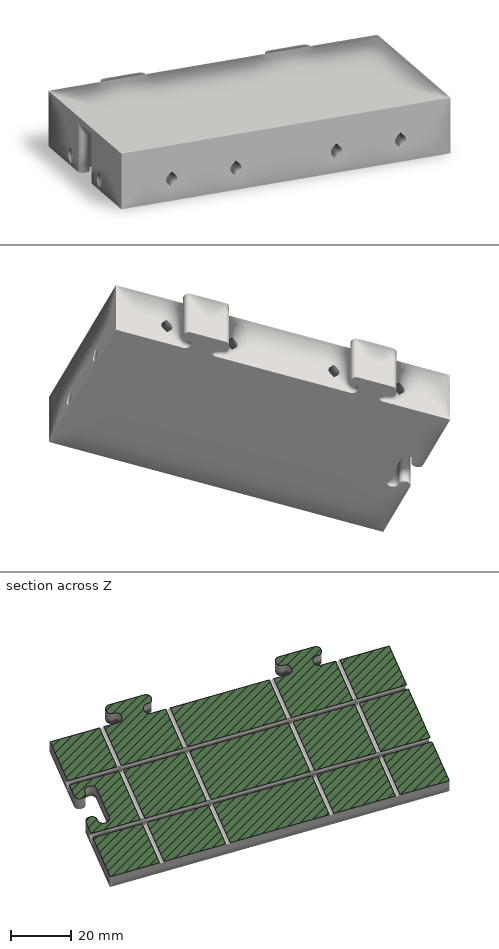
import cadquery as cq
import math

block_x = 60.0
block_y = 120.0
block_z = 20.0

tab_reach = 8.0
stem_width = 8.0
tab_fillet = 1.8
neck_length = tab_reach / 2
head_width = 2 * stem_width
tab_spacing = 60.0
tab_top_gap = 2.6
slot_top_gap = 2.3

hole_diameter = 4.0
hole_spacing = 23.4
x_hole_height = 7.8
y_hole_height = 3.7

inlay_depth = 1.0
digit_spacing = 60.0


def make_t_bar(height):
    """Upright T bar growing along +Y from the X axis, with a flared neck and a rounded head."""
    head = (
        cq.Workplane("XY")
        .center(0, (neck_length + tab_reach) / 2)
        .rect(head_width, tab_reach - neck_length)
        .extrude(height)
        .edges("|Z")
        .fillet(tab_fillet)
    )
    flare_width = stem_width + 2 * tab_fillet
    neck = cq.Workplane("XY").center(0, tab_reach / 2).rect(flare_width, tab_reach).extrude(height)
    groove_x = stem_width / 2 + neck_length
    grooves = (
        cq.Workplane("XY")
        .pushPoints([(-groove_x, neck_length / 2), (groove_x, neck_length / 2)])
        .rect(2 * neck_length, neck_length)
        .extrude(height)
        .edges("|Z")
        .fillet(tab_fillet)
    )
    return head.union(neck.cut(grooves))


def make_tab(y):
    """Tab standing out of the -X side of the block, centred on Y = y."""
    tab = make_t_bar(block_z - tab_top_gap)
    return tab.rotate((0, 0, 0), (0, 0, 1), 90).translate((-block_x / 2, y, 0))


def make_slot():
    """Slot cutter that opens on the -Y side and on the underside."""
    return make_t_bar(block_z - slot_top_gap).translate((0, -block_y / 2, 0))


def make_hole(plane, across, height, length):
    """Peaked hole cutter centred on the block, at a sideways offset and a height."""
    round_hole = cq.Workplane(plane).center(across, height).circle(hole_diameter / 2)
    bore = round_hole.extrude(length / 2, both=True)
    square = (
        cq.Workplane(plane)
        .center(across, height)
        .transformed(rotate=(0, 0, 45))
        .rect(hole_diameter, hole_diameter)
        .extrude(length / 2, both=True)
    )
    peak_width = hole_diameter / math.sqrt(2)
    band = (
        cq.Workplane(plane)
        .center(across, height)
        .rect(peak_width, 2 * hole_diameter)
        .extrude(length / 2, both=True)
    )
    return bore.union(square.intersect(band))


def place_digit(digit, y):
    """Turn a digit half a turn and set it flush with the block top at Y = y."""
    turned = digit.rotate((0, 0, 0), (0, 0, 1), 180)
    return turned.translate((0, y, block_z - inlay_depth))


def make_four():
    """Slab-footed figure 4, centred on the origin."""
    stem_left = 1.5
    stem_right = 4.9
    bar_bottom = -6.6
    bar_top = -4.0
    foot_top = -9.7
    outline = [
        (-1.3, -12.1),
        (7.3, -12.1),
        (7.3, foot_top),
        (stem_right, foot_top),
        (stem_right, bar_bottom),
        (8.0, bar_bottom),
        (8.0, bar_top),
        (stem_right, bar_top),
        (stem_right, 11.8),
        (1.3, 11.8),
        (-9.5, -4.9),
        (-9.5, bar_bottom),
        (stem_left, bar_bottom),
        (stem_left, foot_top),
        (-1.3, foot_top),
    ]
    opening = [(stem_left, bar_top), (-5.8, bar_top), (stem_left, 7.2)]
    solid = cq.Workplane("XY").polyline(outline).close().extrude(inlay_depth)
    return solid.cut(cq.Workplane("XY").polyline(opening).close().extrude(inlay_depth))


def make_three():
    """Figure 3, centred on the origin, with each bowl drawn as arcs."""
    return (
        cq.Workplane("XY")
        .moveTo(-7.9, 5.4)
        .threePointArc((-0.5, 12.0), (6.6, 5.6))
        .threePointArc((5.5, 2.2), (3.0, 0))
        .threePointArc((6.1, -2.0), (7.2, -5.5))
        .threePointArc((-0.6, -12.4), (-8.2, -5.8))
        .lineTo(-4.7, -5.8)
        .threePointArc((-0.4, -9.8), (4.0, -5.4))
        .threePointArc((2.9, -2.3), (0, -1.1))
        .lineTo(-3.1, -1.1)
        .lineTo(-3.1, 1.2)
        .lineTo(0, 1.2)
        .threePointArc((2.5, 2.4), (3.5, 5.4))
        .threePointArc((-0.4, 9.5), (-4.5, 5.4))
        .close()
        .extrude(inlay_depth)
    )


four = place_digit(make_four(), digit_spacing / 2)
three = place_digit(make_three(), -digit_spacing / 2)

tab_places = (-tab_spacing / 2, tab_spacing / 2)

block = cq.Workplane("XY").box(block_x, block_y, block_z, centered=(True, True, False))
for tab_y in tab_places:
    block = block.union(make_tab(tab_y))
block = block.cut(make_slot())
for side in (-1, 1):
    offset = side * hole_spacing / 2
    block = block.cut(make_hole("XZ", offset, y_hole_height, block_y))
    for tab_y in tab_places:
        block = block.cut(make_hole("YZ", tab_y + offset, x_hole_height, block_x))
block = block.cut(four).cut(three)

result = cq.Compound.makeCompound([block.val(), four.val(), three.val()])